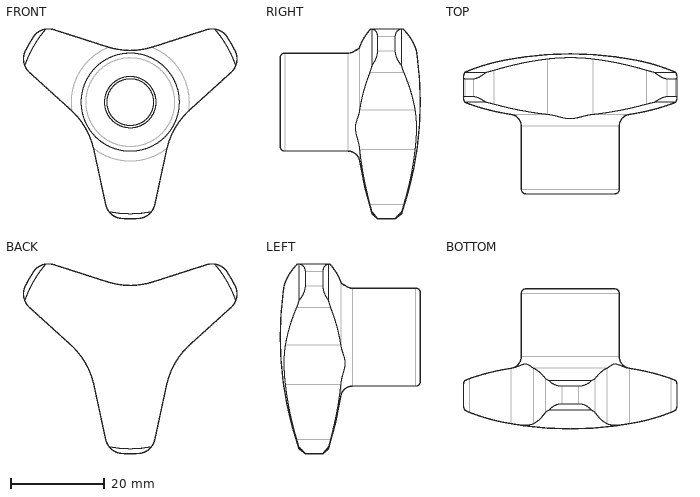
import cadquery as cq
import math

total_length = 30.0
arm_count = 3
arm_reach = 25.0
tip_half_width = 4.7
arm_taper = 12.2
tip_corner_radius = 3.9
valley_radius = 16.0

back_radius = 73.1
front_radius = 79.95
front_apex_y = 16.0
bevel_start = 23.9
tip_front_y = 20.85
tip_back_y = 24.63

hub_radius = 10.5
hub_edge_radius = 1.0
hub_root_radius = 2.5

bore_radius = 10.0 / 2
bore_depth = 16.0
bore_chamfer = 0.5
drill_point_angle = 118.0

bevel_overrun = 0.45
hub_overlap = 0.9


def dome_drop(radius, distance):
    """Axial drop of a spherical surface at a distance from its apex."""
    return radius - math.sqrt(radius**2 - distance**2)


def polar(distance, angle):
    return distance * math.cos(angle), distance * math.sin(angle)


def make_arm_star():
    """Extruded outline of the three arms, with rounded tips and valleys."""
    taper = math.radians(arm_taper)
    pitch = 2 * math.pi / arm_count
    tip_angle = math.asin(tip_half_width / arm_reach)
    flank_distance = arm_reach * math.sin(taper + tip_angle)
    valley_distance = flank_distance / math.cos(math.pi / 2 - pitch / 2 - taper)

    outline = cq.Workplane("XZ").moveTo(*polar(valley_distance, -math.pi / 2 - pitch / 2))
    for index in range(arm_count):
        arm_angle = -math.pi / 2 + index * pitch
        outline = (
            outline.lineTo(*polar(arm_reach, arm_angle - tip_angle))
            .threePointArc(
                polar(arm_reach, arm_angle),
                polar(arm_reach, arm_angle + tip_angle),
            )
            .lineTo(*polar(valley_distance, arm_angle + pitch / 2))
        )

    star = outline.close().extrude(-total_length)
    valley_limit = (valley_distance + arm_reach) / 2
    edges = star.edges("|Y").vals()
    tips = [e for e in edges if math.hypot(e.Center().x, e.Center().z) > valley_limit]
    valleys = [e for e in edges if math.hypot(e.Center().x, e.Center().z) < valley_limit]
    star = star.newObject(valleys).fillet(valley_radius)
    return star.newObject(tips).fillet(tip_corner_radius)


def make_arm_envelope():
    """Lens-shaped turned body that limits the arms front and back."""
    middle = bevel_start / 2
    front_edge_y = front_apex_y + dome_drop(front_radius, bevel_start)
    back_edge_y = total_length - dome_drop(back_radius, bevel_start)
    bevel_run = arm_reach - bevel_start
    front_slope = (tip_front_y - front_edge_y) / bevel_run
    back_slope = (back_edge_y - tip_back_y) / bevel_run
    outer = arm_reach + bevel_overrun
    return (
        cq.Workplane("XY")
        .moveTo(0, front_apex_y)
        .threePointArc(
            (middle, front_apex_y + dome_drop(front_radius, middle)),
            (bevel_start, front_edge_y),
        )
        .lineTo(outer, front_edge_y + front_slope * (outer - bevel_start))
        .lineTo(outer, back_edge_y - back_slope * (outer - bevel_start))
        .lineTo(bevel_start, back_edge_y)
        .threePointArc(
            (middle, total_length - dome_drop(back_radius, middle)),
            (0, total_length),
        )
        .close()
        .revolve(360, (0, 0, 0), (0, 1, 0))
    )


def make_hub():
    """Turned hub with a rounded end and a root flare tangent to the arm dome."""
    flare_center_r = hub_radius + hub_root_radius
    dome_center_y = front_apex_y + front_radius
    flare_center_y = dome_center_y - math.sqrt(
        (front_radius + hub_root_radius) ** 2 - flare_center_r**2
    )
    dome_angle = math.asin(flare_center_r / (front_radius + hub_root_radius))
    contact_r = front_radius * math.sin(dome_angle)
    contact_y = dome_center_y - front_radius * math.cos(dome_angle)
    half_sweep = (math.pi / 2 - dome_angle) / 2
    flare_middle = (
        flare_center_r - hub_root_radius * math.cos(half_sweep),
        flare_center_y + hub_root_radius * math.sin(half_sweep),
    )
    overlap_y = contact_y + hub_overlap
    return (
        cq.Workplane("XY")
        .lineTo(hub_radius - hub_edge_radius, 0)
        .radiusArc((hub_radius, hub_edge_radius), -hub_edge_radius)
        .lineTo(hub_radius, flare_center_y)
        .threePointArc(flare_middle, (contact_r, contact_y))
        .lineTo(contact_r, overlap_y)
        .lineTo(0, overlap_y)
        .close()
        .revolve(360, (0, 0, 0), (0, 1, 0))
    )


def make_bore():
    """Blind drilled hole with a chamfered mouth and a conical bottom."""
    point_depth = bore_radius / math.tan(math.radians(drill_point_angle / 2))
    return (
        cq.Workplane("XY")
        .lineTo(bore_radius + bore_chamfer, 0)
        .lineTo(bore_radius, bore_chamfer)
        .lineTo(bore_radius, bore_depth)
        .lineTo(0, bore_depth + point_depth)
        .close()
        .revolve(360, (0, 0, 0), (0, 1, 0))
    )


turned_body = make_arm_envelope().union(make_hub())
hub_core = cq.Workplane("XZ").circle(hub_radius).extrude(-total_length)
result = turned_body.intersect(make_arm_star().union(hub_core)).cut(make_bore())